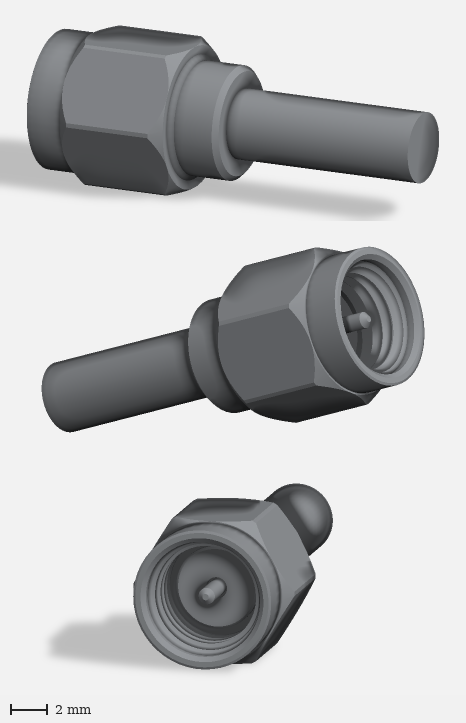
import cadquery as cq
import math

total_length = 22.2

collar_radius = 7.73 / 2
collar_bevel_length = 0.07
collar_bevel_depth = 0.13
hex_start = 2.09
hex_end = 8.35
hex_flats = 7.93
hex_corner_diameter = 9.02
hex_bevel_length = 0.67
sleeve_radius = 6.35 / 2
sleeve_end = 11.22
sleeve_chamfer = 0.29

mouth_radius = 3.45
relief_radius = 3.2
relief_end = 0.7
bore_radius = 2.7
bore_depth = 3.89

thread_root_radius = 3.29
thread_crest_radius = 2.69
thread_pitch = 0.7
first_crest = 0.8
groove_count = 4
thread_lean = 3.3

plug_radius = 4.58 / 2
plug_face = 3.38
plug_chamfer = 0.13
tube_radius = 3.9 / 2
pin_recess_radius = 1.18 / 2
pin_recess_depth = 0.45
pin_radius = 0.9 / 2
pin_tip = 0.82
pin_tip_radius = 0.18
pin_tip_length = 0.29


def revolve(points):
    """Revolve an (x, radius) outline about the X axis."""
    return cq.Workplane("XY").polyline(points).close().revolve(360, (0, 0, 0), (1, 0, 0))


def cylinder(start, end, radius):
    """Solid cylinder about the X axis."""
    return cq.Workplane("YZ", origin=(start, 0, 0)).circle(radius).extrude(end - start)


def hexagon(across_flats):
    """Hexagonal prism with corners on the Y axis, as long as the wrench section."""
    across_corners = across_flats / math.cos(math.pi / 6)
    plane = cq.Workplane("YZ", origin=(hex_start, 0, 0))
    return plane.polygon(6, across_corners).extrude(hex_end - hex_start)


def make_collar():
    return revolve([
        (0, 0),
        (0, collar_radius - collar_bevel_depth),
        (collar_bevel_length, collar_radius),
        (hex_start, collar_radius),
        (hex_start, 0),
    ])


def make_wrench_section():
    """Hexagon with flattened corners and conical bevels at both ends."""
    corner_flats = hexagon(hex_corner_diameter).rotate((0, 0, 0), (1, 0, 0), 30)
    corner_radius = hex_corner_diameter / 2
    face_radius = hex_flats / 2
    end_bevels = revolve([
        (hex_start, 0),
        (hex_start, face_radius),
        (hex_start + hex_bevel_length, corner_radius),
        (hex_end - hex_bevel_length, corner_radius),
        (hex_end, face_radius),
        (hex_end, 0),
    ])
    return hexagon(hex_flats).intersect(corner_flats).intersect(end_bevels)


def make_sleeve():
    """Rear sleeve, flared where it meets the hexagon and chamfered at its free end."""
    return revolve([
        (hex_end, 0),
        (hex_end, sleeve_radius + sleeve_chamfer),
        (hex_end + sleeve_chamfer, sleeve_radius),
        (sleeve_end - sleeve_chamfer, sleeve_radius),
        (sleeve_end, sleeve_radius - sleeve_chamfer),
        (sleeve_end, 0),
    ])


def make_bore():
    """Space removed for the bevelled mouth, the relief and the plain bore."""
    return revolve([
        (0, 0),
        (0, mouth_radius),
        (mouth_radius - relief_radius, relief_radius),
        (relief_end, relief_radius),
        (relief_end + relief_radius - bore_radius, bore_radius),
        (bore_depth, bore_radius),
        (bore_depth, 0),
    ])


def make_thread_space():
    """Space removed by the thread: a zigzag outline revolved, then leaned about Z."""
    points = [(first_crest, 0), (first_crest, thread_crest_radius)]
    for index in range(groove_count):
        groove_start = first_crest + index * thread_pitch
        points.append((groove_start + thread_pitch / 2, thread_root_radius))
        points.append((groove_start + thread_pitch, thread_crest_radius))
    thread_end = first_crest + groove_count * thread_pitch
    points.append((thread_end, 0))
    middle = (first_crest + thread_end) / 2
    return revolve(points).rotate((middle, 0, 0), (middle, 0, 1), -thread_lean)


def make_nut():
    body = make_collar().union(make_wrench_section()).union(make_sleeve())
    tube_hole = cylinder(bore_depth, sleeve_end, tube_radius)
    return body.cut(make_bore()).cut(make_thread_space()).cut(tube_hole)


def make_core():
    plug = cylinder(plug_face, bore_depth, plug_radius).faces("<X").chamfer(plug_chamfer)
    tube = cylinder(bore_depth, total_length, tube_radius)
    recess_floor = plug_face + pin_recess_depth
    recess = cylinder(plug_face, recess_floor, pin_recess_radius)
    pin = revolve([
        (pin_tip, 0),
        (pin_tip, pin_tip_radius),
        (pin_tip + pin_tip_length, pin_radius),
        (recess_floor, pin_radius),
        (recess_floor, 0),
    ])
    return plug.union(tube).cut(recess).union(pin)


nut = make_nut()
core = make_core()
result = cq.Compound.makeCompound([nut.val(), core.val()])